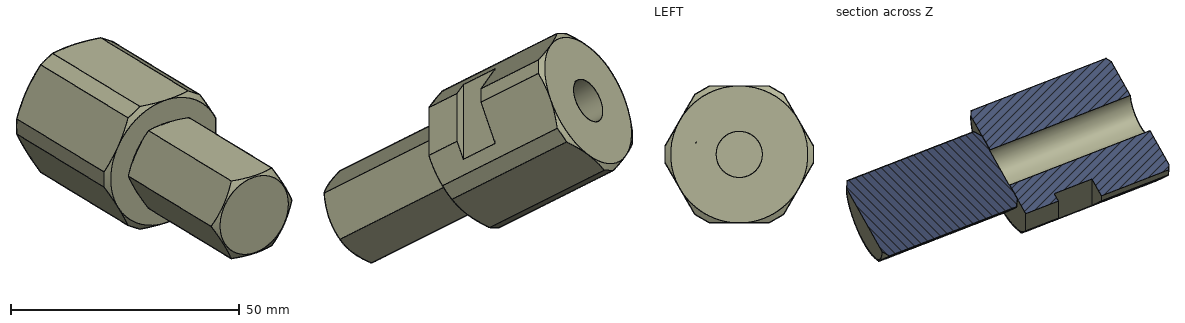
import cadquery as cq
import math

housing_length = 34.0
housing_across_flats = 30.0
housing_across_corner_flats = 32.5
bore_diameter = 10.11

slot_start = 17.0
slot_end = 26.0
slot_floor_y = 11.35
land_y = 13.5

overall_length = 66.7
shank_length = overall_length - housing_length
shank_across_flats = 19.0
shank_end_diameter = 18.5

chamfer_slope = math.tan(math.radians(30))
hex_half_angle = 30


def across_corners(across_flats):
    return across_flats / math.cos(math.radians(hex_half_angle))


def hex_bar(across_flats, start, length, turn=0):
    """Hexagonal prism along +X, with two corners on the Y axis before turning about X."""
    bar = cq.Workplane("YZ").polygon(6, across_corners(across_flats)).extrude(length)
    return bar.rotate((0, 0, 0), (1, 0, 0), turn).translate((start, 0, 0))


def chamfer_envelope(end_diameter, outer_diameter, start, length):
    """Round blank with coned ends that trims the corners of a hexagonal bar."""
    end_radius = end_diameter / 2
    outer_radius = outer_diameter / 2
    cone_length = (outer_radius - end_radius) * chamfer_slope
    end = start + length
    return (
        cq.Workplane("XY")
        .moveTo(start, 0)
        .lineTo(start, end_radius)
        .lineTo(start + cone_length, outer_radius)
        .lineTo(end - cone_length, outer_radius)
        .lineTo(end, end_radius)
        .lineTo(end, 0)
        .close()
        .revolve(360, (0, 0, 0), (1, 0, 0))
    )


def side_cut(start, end, floor_y):
    """Block that removes everything beyond floor_y on the +Y side between two X positions."""
    reach = housing_across_flats
    block = cq.Workplane("XY").box(end - start, reach, 2 * reach, centered=(False, False, True))
    return block.translate((start, floor_y, 0))


def make_housing():
    body = hex_bar(housing_across_flats, 0, housing_length)
    body = body.intersect(hex_bar(housing_across_corner_flats, 0, housing_length, turn=hex_half_angle))
    body = body.intersect(
        chamfer_envelope(housing_across_flats, across_corners(housing_across_flats), 0, housing_length)
    )
    bore = cq.Workplane("YZ").circle(bore_diameter / 2).extrude(housing_length)
    body = body.cut(bore)
    body = body.cut(side_cut(slot_start, slot_end, slot_floor_y))
    return body.cut(side_cut(slot_end, housing_length, land_y))


def make_shank():
    bar = hex_bar(shank_across_flats, housing_length, shank_length)
    envelope = chamfer_envelope(
        shank_end_diameter, across_corners(shank_across_flats), housing_length, shank_length
    )
    return bar.intersect(envelope)


housing = make_housing()
shank = make_shank()

result = cq.Compound.makeCompound([housing.solids().val(), shank.solids().val()])